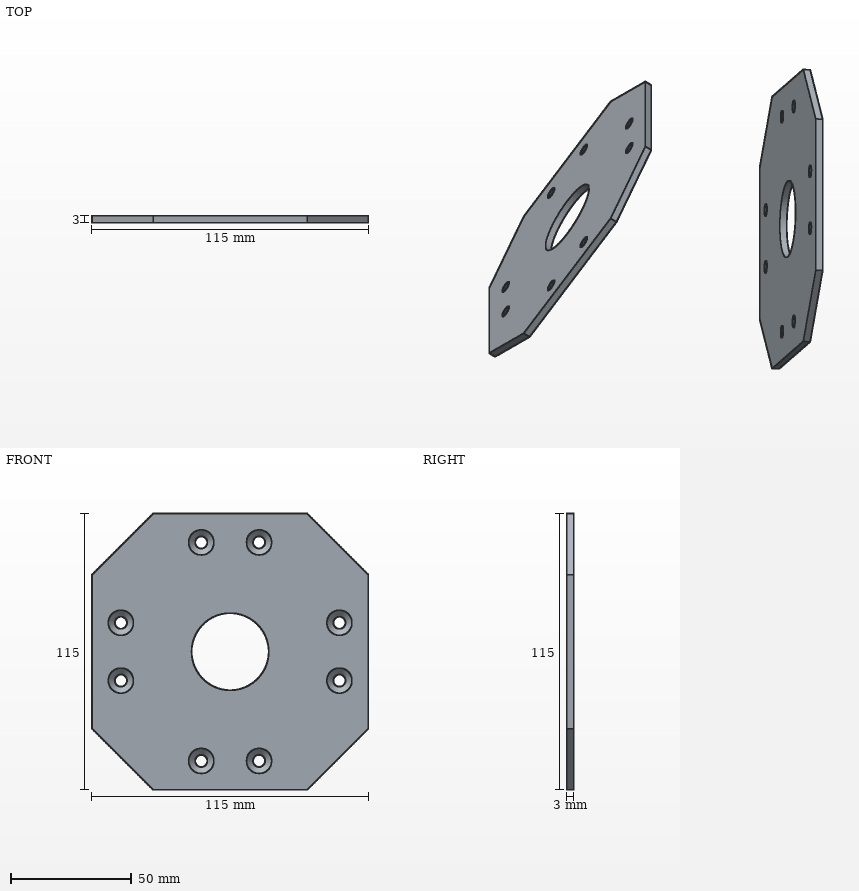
import cadquery as cq

side = 115.0
thickness = 3.0
corner_cut = 25.5
bore_diameter = 32.0

hole_diameter = 5.0
sink_diameter = 10.5
sink_angle = 90
pair_spacing = 24.0
pair_offset = 45.4

half_spacing = pair_spacing / 2
hole_centres = []
for along in (-half_spacing, half_spacing):
    for across in (-pair_offset, pair_offset):
        hole_centres.append((along, across))
        hole_centres.append((across, along))

plate = (
    cq.Workplane("XZ")
    .rect(side, side)
    .extrude(thickness / 2, both=True)
    .edges("|Y")
    .chamfer(corner_cut)
)

plate = plate.faces("<Y").workplane(origin=(0, 0, 0)).hole(bore_diameter)

result = (
    plate.faces("<Y")
    .workplane(origin=(0, 0, 0))
    .pushPoints(hole_centres)
    .cskHole(hole_diameter, sink_diameter, sink_angle)
)